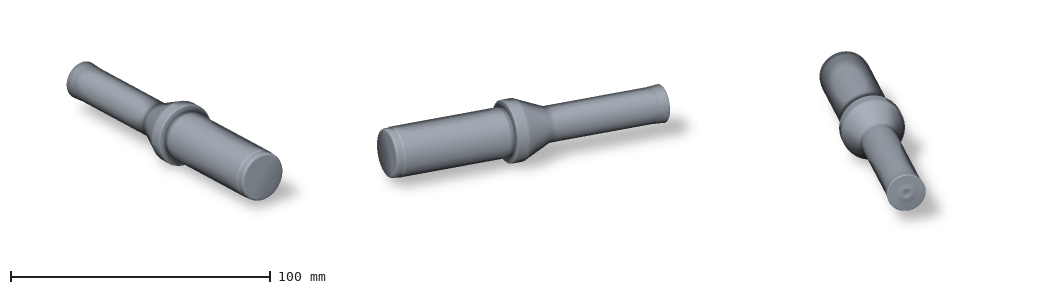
import cadquery as cq
import math


head_end = 5.0
collar_end = 67.0
overall_length = 117.0

pit_radius = 2.0
pit_depth = 0.5
nose_radius = 4.0
nose_setback = 0.35
face_ring_radius = 5.8
face_setback = 0.4
head_front_radius = 7.6
head_back_radius = 7.3
head_edge = 0.3

neck_radius = 14.4 / 2
collar_radius = 25.0 / 2
cone_angle = math.radians(23.5)
neck_fillet = 5.0
collar_front_fillet = 2.5
collar_front = 62.5
collar_back_fillet = 0.5

shank_radius = 20.0 / 2
relief_radius = 19.5 / 2
front_relief_length = 1.0
relief_slope_length = 0.9
rear_relief_length = 3.0
rear_slope_length = 0.7
rear_fillet = 1.0


def turn(profile):
    """Revolve a closed half profile, drawn in XY, about the X axis."""
    return profile.close().revolve(360, (0, 0, 0), (1, 0, 0))


def make_head():
    """Shallow stepped cone face with a conical centre pit, on a head that tapers down towards the neck."""
    profile = (
        cq.Workplane("XY")
        .moveTo(pit_depth, 0)
        .lineTo(0, pit_radius)
        .lineTo(nose_setback, nose_radius)
        .lineTo(face_setback, face_ring_radius)
        .lineTo(face_setback, head_front_radius - head_edge)
        .lineTo(face_setback + head_edge, head_front_radius)
        .lineTo(head_end, head_back_radius)
        .lineTo(head_end, 0)
    )
    return turn(profile)


def make_holder():
    """Neck that sweeps through a cone into the collar, followed by the relieved shank."""
    sine = math.sin(cone_angle)
    rise_factor = 1 - math.cos(cone_angle)
    half_sine = math.sin(cone_angle / 2)
    half_rise_factor = 1 - math.cos(cone_angle / 2)

    cone_start_radius = neck_radius + neck_fillet * rise_factor
    cone_end_radius = collar_radius - collar_front_fillet * rise_factor
    cone_end = collar_front - collar_front_fillet * sine
    cone_start = cone_end - (cone_end_radius - cone_start_radius) / math.tan(cone_angle)
    neck_end = cone_start - neck_fillet * sine

    neck_arc_middle = (
        neck_end + neck_fillet * half_sine,
        neck_radius + neck_fillet * half_rise_factor,
    )
    collar_arc_middle = (
        collar_front - collar_front_fillet * half_sine,
        collar_radius - collar_front_fillet * half_rise_factor,
    )

    front_relief_end = collar_end + front_relief_length
    rear_relief_start = overall_length - rear_relief_length

    profile = (
        cq.Workplane("XY")
        .moveTo(head_end, 0)
        .lineTo(head_end, neck_radius)
        .lineTo(neck_end, neck_radius)
        .threePointArc(neck_arc_middle, (cone_start, cone_start_radius))
        .lineTo(cone_end, cone_end_radius)
        .threePointArc(collar_arc_middle, (collar_front, collar_radius))
        .lineTo(collar_end - collar_back_fillet, collar_radius)
        .radiusArc((collar_end, collar_radius - collar_back_fillet), collar_back_fillet)
        .lineTo(collar_end, relief_radius)
        .lineTo(front_relief_end, relief_radius)
        .lineTo(front_relief_end + relief_slope_length, shank_radius)
        .lineTo(rear_relief_start - rear_slope_length, shank_radius)
        .lineTo(rear_relief_start, relief_radius)
        .lineTo(overall_length - rear_fillet, relief_radius)
        .radiusArc((overall_length, relief_radius - rear_fillet), rear_fillet)
        .lineTo(overall_length, 0)
    )
    return turn(profile)


head = make_head()
holder = make_holder()

result = cq.Compound.makeCompound([head.val(), holder.val()])